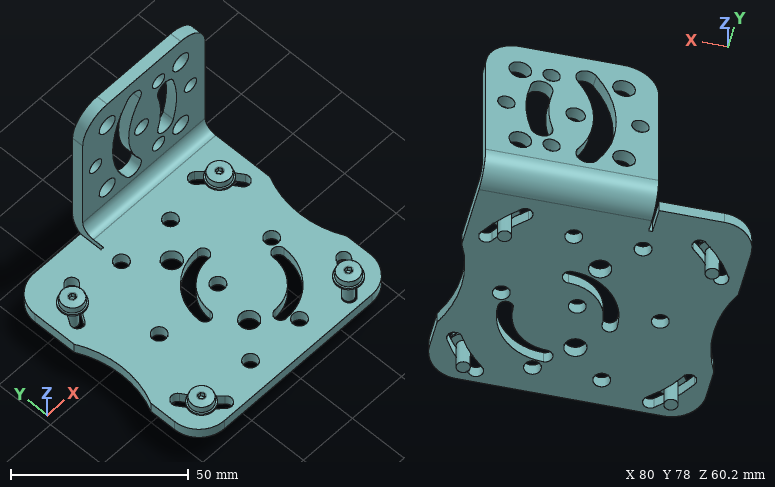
import cadquery as cq
import math

sheet = 4.0
plate_length = 80.0
plate_front = -34.0
plate_back = 40.0
corner_radius = 10.0
half_length = plate_length / 2

scoop_half_chord = 14.9
scoop_depth = 3.5

flange_width = 50.0
flange_mid_z = 30.0
flange_height = flange_mid_z + flange_width / 2
bend_inner_radius = 4.2
bend_outer_radius = bend_inner_radius + sheet
flange_left = half_length - flange_width
flange_mid_x = half_length - flange_width / 2
flange_back = plate_back + sheet
bend_start = flange_back - bend_outer_radius

slit_width = 1.0
slit_depth = 8.0

small_hole = 5.0
large_hole = 6.5
large_hole_spacing = 30.0
pivot_hole = 5.6

screw_spacing_x = 60.0
screw_spacing_y = 50.0
screw_x = screw_spacing_x / 2
screw_y = screw_spacing_y / 2
screw_radius = math.hypot(screw_x, screw_y)
screw_angle = math.degrees(math.atan2(screw_y, screw_x))
slot_width = 4.3
screw_slot_half_angle = 10.0

base_small_x = 10.0
base_large_y = large_hole_spacing / 2
base_row_x = (-21.0, 3.0, 25.0)

quarter_slot_center = (7.5, -5.0)
quarter_slot_radius = 15.0

flange_hole_offset = large_hole_spacing / 2
flange_left_hole_x = -4.7
flange_pivot_x = 14.0
flange_pair_x = 21.0
flange_right_hole_x = 34.0

flange_slot_width = 6.5
long_slot_radius = 28.5
long_slot_half_angle = 35.0
short_slot_radius = 29.8
short_slot_half_angle = 16.4

shank_diameter = 4.0
overall_height = 60.2
shank_below_plate = overall_height - flange_height
collar_diameter = 9.0
collar_height = 0.6
head_base_diameter = 7.8
head_edge_diameter = 7.6
head_edge_height = 2.9
head_top_height = 3.3
head_flat_diameter = 2.7
socket_diameter = 2.2
socket_depth = 1.6


def arc_slot(plane, center, radius, width, start_angle, end_angle, depth):
    """Solid for a round-ended slot whose centreline is an arc, extruded along the plane normal."""
    def polar(r, degrees):
        a = math.radians(degrees)
        return (center[0] + r * math.cos(a), center[1] + r * math.sin(a))

    inner = radius - width / 2
    outer = radius + width / 2
    middle = (start_angle + end_angle) / 2
    end_cap = math.degrees(width / 2 / radius)
    return (
        cq.Workplane(plane)
        .moveTo(*polar(inner, start_angle))
        .threePointArc(polar(inner, middle), polar(inner, end_angle))
        .threePointArc(polar(radius, end_angle + end_cap), polar(outer, end_angle))
        .threePointArc(polar(outer, middle), polar(outer, start_angle))
        .threePointArc(polar(radius, start_angle - end_cap), polar(inner, start_angle))
        .close()
        .extrude(depth)
    )


def make_base():
    """Flat plate with rounded corners, side scoops and the relief slit."""
    slit_left = flange_left - slit_width
    slit_end = plate_back - slit_depth
    scoop_bottom = half_length - scoop_depth
    base = (
        cq.Workplane("XY")
        .moveTo(-half_length, plate_front)
        .lineTo(half_length, plate_front)
        .lineTo(half_length, -scoop_half_chord)
        .threePointArc((scoop_bottom, 0), (half_length, scoop_half_chord))
        .lineTo(half_length, bend_start)
        .lineTo(flange_left, bend_start)
        .lineTo(flange_left, slit_end)
        .lineTo(slit_left, slit_end)
        .lineTo(slit_left, plate_back)
        .lineTo(-half_length, plate_back)
        .lineTo(-half_length, scoop_half_chord)
        .threePointArc((-scoop_bottom, 0), (-half_length, -scoop_half_chord))
        .close()
        .extrude(sheet)
    )
    outer_corners = (
        cq.selectors.NearestToPointSelector((-half_length, plate_front, sheet / 2)),
        cq.selectors.NearestToPointSelector((half_length, plate_front, sheet / 2)),
        cq.selectors.NearestToPointSelector((-half_length, plate_back, sheet / 2)),
    )
    for corner in outer_corners:
        base = base.edges("|Z").edges(corner).fillet(corner_radius)
    return base


def make_flange():
    """Bend and upright wall, drawn as a side profile and extruded across the flange width."""
    cos45 = math.cos(math.radians(45))
    inner_mid = bend_inner_radius * cos45
    outer_mid = bend_outer_radius * cos45
    bend_z = bend_outer_radius
    flange = (
        cq.Workplane("YZ", origin=(flange_left, 0, 0))
        .moveTo(bend_start, 0)
        .threePointArc((bend_start + outer_mid, bend_z - outer_mid), (flange_back, bend_z))
        .lineTo(flange_back, flange_height)
        .lineTo(plate_back, flange_height)
        .lineTo(plate_back, bend_z)
        .threePointArc((bend_start + inner_mid, bend_z - inner_mid), (bend_start, sheet))
        .close()
        .extrude(flange_width)
    )
    return flange.edges("|Y and >Z").edges("<X or >X").fillet(corner_radius)


def base_cutters():
    """Holes and slots through the base plate."""
    small_points = [(x, y) for x in (-base_small_x, base_small_x) for y in (-screw_y, screw_y)]
    small_points += [(x, 0) for x in base_row_x]
    large_points = [(0, -base_large_y), (0, base_large_y)]
    cutters = [
        cq.Workplane("XY").pushPoints(small_points).circle(small_hole / 2).extrude(sheet),
        cq.Workplane("XY").pushPoints(large_points).circle(large_hole / 2).extrude(sheet),
    ]
    for start in (90, 270):
        end = start + 90
        cutters.append(
            arc_slot("XY", quarter_slot_center, quarter_slot_radius, slot_width, start, end, sheet)
        )
    for angle in (screw_angle, 180 - screw_angle, 180 + screw_angle, -screw_angle):
        start = angle - screw_slot_half_angle
        end = angle + screw_slot_half_angle
        cutters.append(arc_slot("XY", (0, 0), screw_radius, slot_width, start, end, sheet))
    return cutters


def flange_cutters():
    """Holes and slots through the upright flange."""
    wall = cq.Plane(origin=(0, flange_back, 0), xDir=(1, 0, 0), normal=(0, -1, 0))
    heights = (flange_mid_z - flange_hole_offset, flange_mid_z + flange_hole_offset)
    columns = (flange_mid_x - flange_hole_offset, flange_mid_x + flange_hole_offset)
    left_hole = (flange_left_hole_x, flange_mid_z)
    right_hole = (flange_right_hole_x, flange_mid_z)
    large_points = [(x, z) for x in columns for z in heights]
    small_points = [left_hole, right_hole] + [(flange_pair_x, z) for z in heights]
    return [
        cq.Workplane(wall).pushPoints(large_points).circle(large_hole / 2).extrude(sheet),
        cq.Workplane(wall).pushPoints(small_points).circle(small_hole / 2).extrude(sheet),
        cq.Workplane(wall).center(flange_pivot_x, flange_mid_z).circle(pivot_hole / 2).extrude(sheet),
        arc_slot(
            wall, right_hole, long_slot_radius, flange_slot_width,
            180 - long_slot_half_angle, 180 + long_slot_half_angle, sheet,
        ),
        arc_slot(
            wall, left_hole, short_slot_radius, flange_slot_width,
            -short_slot_half_angle, short_slot_half_angle, sheet,
        ),
    ]


def make_bracket():
    """One bent-sheet bracket with all its holes and slots."""
    bracket = make_base().union(make_flange())
    for cutter in base_cutters() + flange_cutters():
        bracket = bracket.cut(cutter)
    return bracket


def make_screw(x, y):
    """Collared screw with a tapered side, a shallow domed top and a hexagon socket, seated on the plate."""
    dome_rise = head_top_height - head_edge_height
    dome_radius = ((head_edge_diameter / 2) ** 2 + dome_rise ** 2) / (2 * dome_rise)

    def dome_point(radius):
        drop = dome_radius - math.sqrt(dome_radius ** 2 - radius ** 2)
        return (radius, sheet + head_top_height - drop)

    flat_rim = dome_point(head_flat_diameter / 2)
    dome_middle = dome_point((head_edge_diameter + head_flat_diameter) / 4)
    screw = (
        cq.Workplane("XZ")
        .moveTo(0, -shank_below_plate)
        .lineTo(shank_diameter / 2, -shank_below_plate)
        .lineTo(shank_diameter / 2, sheet)
        .lineTo(collar_diameter / 2, sheet)
        .lineTo(collar_diameter / 2, sheet + collar_height)
        .lineTo(head_base_diameter / 2, sheet + collar_height)
        .lineTo(head_edge_diameter / 2, sheet + head_edge_height)
        .threePointArc(dome_middle, flat_rim)
        .lineTo(0, flat_rim[1])
        .close()
        .revolve(360, (0, 0, 0), (0, 1, 0))
    )
    socket = (
        cq.Workplane("XY", origin=(0, 0, sheet + head_top_height))
        .polygon(6, socket_diameter)
        .extrude(-socket_depth)
    )
    return screw.cut(socket).translate((x, y, 0))


bracket = make_bracket()
screws = [make_screw(x, y) for x in (-screw_x, screw_x) for y in (-screw_y, screw_y)]

result = cq.Compound.makeCompound([bracket.val(), *[screw.val() for screw in screws]])